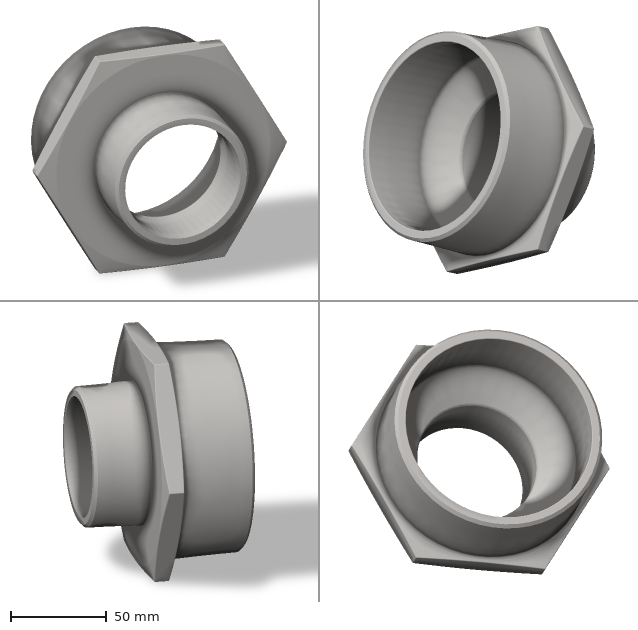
import cadquery as cq
import math

total_length = 82.0
hex_start = 39.7
hex_width = 11.5
hex_end = hex_start + hex_width
large_taper_end = 35.8
small_taper_start = 55.4

large_neck_radius = 113.6 / 2
small_neck_radius = 75.7 / 2
taper_slope = 1 / 32
end_chamfer = 1.7

across_flats = 120.0
across_corners = across_flats / math.cos(math.radians(30))
hex_chamfer_angle = 10
hex_chamfer_start_radius = 59.2
envelope_margin = 1.4

large_bore_radius = 100.0 / 2
small_bore_radius = 64.0 / 2
cone_start = 37.6
cone_length = 11.8
cone_end = cone_start + cone_length

edge_radius = 0.5
bore_blend_radius = 2.0

match_tolerance = 0.01


def revolve_profile(points):
    """Revolve a closed (x, radius) outline about the X axis."""
    return cq.Workplane("XZ").polyline(points).close().revolve(360, (0, 0, 0), (1, 0, 0))


def fillet_rim(body, x, rim_radius, fillet_radius):
    """Round the circular edge of the given radius, centred on the X axis at x."""
    rims = [
        edge
        for edge in body.edges("%CIRCLE").vals()
        if abs(edge.Center().x - x) < match_tolerance
        and abs(edge.radius() - rim_radius) < match_tolerance
    ]
    return body.newObject(rims).fillet(fillet_radius)


def make_spigots():
    """Solid body of both spigots, meeting inside the hexagon."""
    hex_middle = hex_start + hex_width / 2
    small_taper_end = total_length - end_chamfer
    large_end_radius = large_neck_radius - taper_slope * (large_taper_end - end_chamfer)
    small_end_radius = small_neck_radius - taper_slope * (small_taper_end - small_taper_start)
    return revolve_profile([
        (0, 0),
        (0, large_end_radius - end_chamfer),
        (end_chamfer, large_end_radius),
        (large_taper_end, large_neck_radius),
        (hex_middle, large_neck_radius),
        (hex_middle, small_neck_radius),
        (small_taper_start, small_neck_radius),
        (small_taper_end, small_end_radius),
        (total_length, small_end_radius - end_chamfer),
        (total_length, 0),
    ])


def make_hex_flange():
    """Hexagon with rounded edges whose faces fall away conically towards the corners."""
    prism = cq.Workplane("YZ", origin=(hex_start, 0, 0)).polygon(6, across_corners).extrude(hex_width)
    envelope_radius = across_corners / 2 + envelope_margin
    chamfer_slope = math.tan(math.radians(hex_chamfer_angle))
    envelope_drop = (envelope_radius - hex_chamfer_start_radius) * chamfer_slope
    envelope = revolve_profile([
        (hex_start, 0),
        (hex_start, hex_chamfer_start_radius),
        (hex_start + envelope_drop, envelope_radius),
        (hex_end - envelope_drop, envelope_radius),
        (hex_end, hex_chamfer_start_radius),
        (hex_end, 0),
    ])
    return prism.intersect(envelope).edges("%HYPERBOLA or |X").fillet(edge_radius)


def make_bore():
    """Through bore as a solid, with both ends of its cone blended."""
    bore = revolve_profile([
        (0, 0),
        (0, large_bore_radius),
        (cone_start, large_bore_radius),
        (cone_end, small_bore_radius),
        (total_length, small_bore_radius),
        (total_length, 0),
    ])
    bore = fillet_rim(bore, cone_start, large_bore_radius, bore_blend_radius)
    return fillet_rim(bore, cone_end, small_bore_radius, bore_blend_radius)


body = make_spigots().union(make_hex_flange())
body = fillet_rim(body, hex_start, large_neck_radius, edge_radius)
body = fillet_rim(body, hex_end, small_neck_radius, edge_radius)
body = body.cut(make_bore())
result = fillet_rim(body, 0, large_bore_radius, edge_radius)